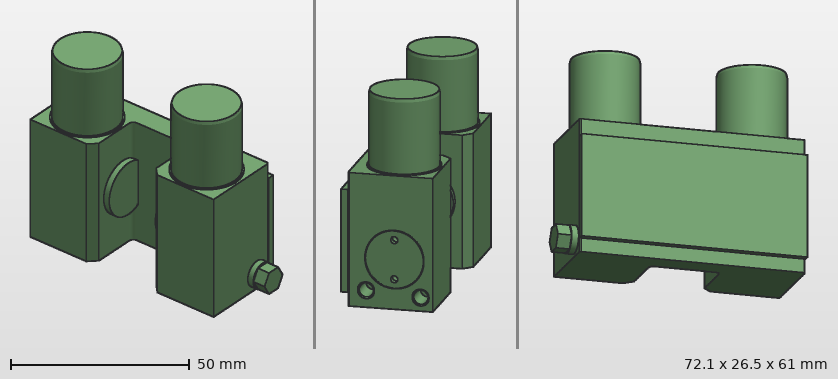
import cadquery as cq
import math


housing_width = 66.1
housing_depth = 24.5
housing_height = 39.0
side_x = housing_width / 2
channel_width = 20.6
channel_depth = 17.4
channel_fillet = 1.5
channel_mouth_chamfer = 2.5
back_edge_chamfer = 0.4

pad_diameter = 17.0
pad_height = 2.0
pad_y = 13.1
pad_z = housing_height / 2

cover_diameter = 20.0
cover_height = 22.0
cover_edge_height = 1.0
cover_edge_angle = 15.0
cover_edge_inset = cover_edge_height * math.tan(math.radians(cover_edge_angle))
cover_foot_diameter = 19.8
cover_foot_height = 0.3
cover_spacing = 43.0
cover_y = 11.1
recess_diameter = 21.0
recess_depth = 0.2

groove_outer_diameter = 17.0
groove_inner_diameter = 16.8
groove_depth = 0.5
round_face_y = cover_y
round_face_z = 14.5
spanner_hole_diameter = 2.0
spanner_hole_depth = 2.0
spanner_hole_spacing = 11.4
drill_tip_angle = 118.0

port_diameter = 4.13
port_mouth_diameter = 4.9
port_depth = 8.0
port_a_y = 3.5
port_a_z = 4.0
port_b_y = 19.25
port_b_z = 5.0

plate_thickness = 2.0
plate_height = 30.0
plate_z = 4.0

breather_flange_diameter = 8.2
breather_flange_thickness = 2.0
breather_hex_flats = 7.0
breather_hex_length = 4.0
breather_hex_corner_diameter = breather_hex_flats / math.cos(math.pi / 6)


def left_side_plane(y, z):
    """Plane on the left side whose normal points into the housing."""
    return cq.Workplane(cq.Plane(origin=(-side_x, y, z), xDir=(0, 1, 0), normal=(1, 0, 0)))


def make_blank():
    """Block with its channel, fillets and chamfers."""
    block = (
        cq.Workplane("XY")
        .box(housing_width, housing_depth, housing_height, centered=(True, False, False))
        .edges("|Z and >Y")
        .chamfer(back_edge_chamfer)
    )
    channel = (
        cq.Workplane("XY")
        .box(channel_width, channel_depth, housing_height, centered=(True, False, False))
        .edges("|Z and >Y")
        .fillet(channel_fillet)
    )
    half_channel = channel_width / 2
    half_mouth = half_channel + channel_mouth_chamfer
    mouth = (
        cq.Workplane("XY")
        .moveTo(-half_mouth, 0)
        .lineTo(half_mouth, 0)
        .lineTo(half_channel, channel_mouth_chamfer)
        .lineTo(-half_channel, channel_mouth_chamfer)
        .close()
        .extrude(housing_height)
    )
    return block.cut(channel).cut(mouth)


def make_pad(side):
    """Pad on one channel wall (side is -1 or 1), rooted in the wall and the web behind it."""
    wall_x = side * channel_width / 2
    plane = cq.Plane(origin=(wall_x, pad_y, pad_z), xDir=(0, 1, 0), normal=(-side, 0, 0))
    root = channel_fillet
    return cq.Workplane(plane).workplane(offset=-root).circle(pad_diameter / 2).extrude(root + pad_height)


def make_port(y, z):
    """Round port with a countersunk mouth."""
    bore = left_side_plane(y, z).circle(port_diameter / 2).extrude(port_depth)
    mouth_depth = (port_mouth_diameter - port_diameter) / 2
    mouth = left_side_plane(y, z).circle(port_mouth_diameter / 2).extrude(mouth_depth, taper=45)
    return bore.union(mouth)


def make_spanner_hole(z):
    """Drilled blind hole with a conical bottom."""
    radius = spanner_hole_diameter / 2
    tip_depth = radius / math.tan(math.radians(drill_tip_angle / 2))
    shoulder_x = -side_x + spanner_hole_depth
    return (
        cq.Workplane(cq.Plane(origin=(0, round_face_y, z), xDir=(1, 0, 0), normal=(0, 0, 1)))
        .moveTo(-side_x, 0)
        .lineTo(-side_x, radius)
        .lineTo(shoulder_x, radius)
        .lineTo(shoulder_x + tip_depth, 0)
        .close()
        .revolve(360, (0, 0, 0), (1, 0, 0))
    )


def make_housing():
    body = make_blank()
    for side in (-1, 1):
        body = body.union(make_pad(side))
        recess = (
            cq.Workplane("XY", origin=(side * cover_spacing / 2, cover_y, housing_height - recess_depth))
            .circle(recess_diameter / 2)
            .extrude(recess_depth)
        )
        body = body.cut(recess)
    for end in (-1, 1):
        body = body.cut(make_spanner_hole(round_face_z + end * spanner_hole_spacing / 2))
    groove = (
        left_side_plane(round_face_y, round_face_z)
        .circle(groove_outer_diameter / 2)
        .circle(groove_inner_diameter / 2)
        .extrude(groove_depth)
    )
    return body.cut(groove).cut(make_port(port_a_y, port_a_z)).cut(make_port(port_b_y, port_b_z))


def make_cover(side):
    """Cylindrical cover standing on its recess floor, with a tapered top edge and a chamfered foot."""
    foot_inset = (cover_diameter - cover_foot_diameter) / 2
    return (
        cq.Workplane("XY", origin=(side * cover_spacing / 2, cover_y, housing_height - recess_depth))
        .circle(cover_diameter / 2)
        .extrude(recess_depth + cover_height)
        .faces(">Z")
        .chamfer(cover_edge_height, cover_edge_inset)
        .faces("<Z")
        .chamfer(cover_foot_height, foot_inset)
    )


def make_adapter_plate():
    return cq.Workplane("XY", origin=(0, housing_depth, plate_z)).box(
        housing_width, plate_thickness, plate_height, centered=(True, False, False)
    )


def make_breather():
    """Round flange against the housing, carrying a hexagon with flats at top and bottom."""
    plane = cq.Plane(origin=(side_x, port_b_y, port_b_z), xDir=(0, 1, 0), normal=(1, 0, 0))
    return (
        cq.Workplane(plane)
        .circle(breather_flange_diameter / 2)
        .extrude(breather_flange_thickness)
        .faces(">X")
        .workplane(origin=plane.origin)
        .polygon(6, breather_hex_corner_diameter)
        .extrude(breather_hex_length)
    )


housing = make_housing()
covers = [make_cover(side) for side in (-1, 1)]
adapter_plate = make_adapter_plate()
breather = make_breather()

result = cq.Compound.makeCompound(
    [housing.val(), *[cover.val() for cover in covers], adapter_plate.val(), breather.val()]
)